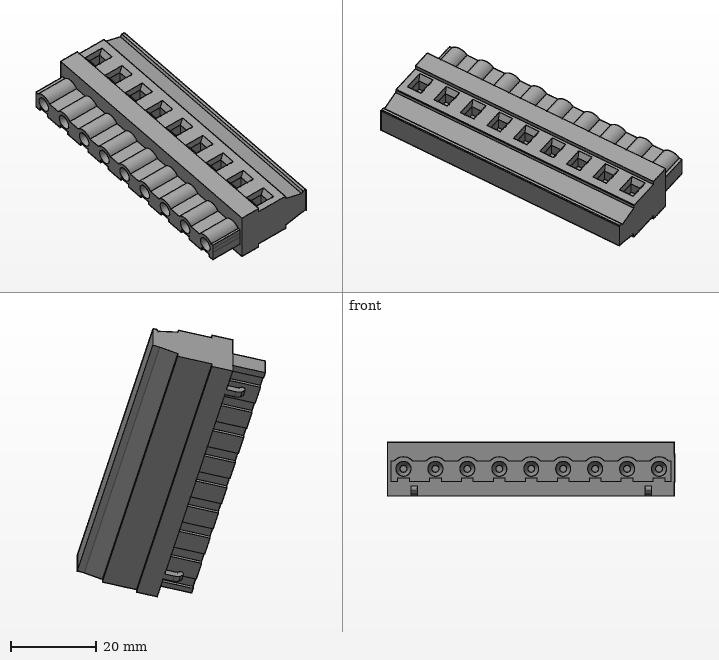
import cadquery as cq


total_length = 67.5
total_height = 12.7
pole_count = 9
pole_pitch = 7.5
lip_overhang = 0.2

housing_depth = 19.45
flange_depth = 5.05
middle_back = 13.35
middle_top_back = 13.1
middle_chamfer = 0.15
flange_step = 1.0
middle_top = total_height - flange_step
middle_bottom = flange_step
ramp_top_front = 10.9
ramp_bottom_front = 2.1
ramp_bottom_back_y = 17.75
ramp_bottom_back_z = 3.1
back_bottom = 3.3
groove_y = 18.1
groove_z = 9.45
ridge_front = 18.5
ridge_top = 10.05
ridge_chamfer = 0.2

lip_thickness = 0.15
lip_bottom = back_bottom
lip_top = ridge_top - ridge_chamfer

plug_reach = 8.2
plug_inset = 0.8
plug_bottom = 3.45
plug_top = 8.25
barrel_radius = 2.85
barrel_axis_z = 6.4
key_slot_width = 2.8
key_slot_depth = 0.8

funnel_mouth_diameter = 3.5
funnel_throat_diameter = 1.6
funnel_depth = 4.05

pocket_width = 3.7
pocket_front = 5.75
pocket_back = 10.95
pocket_taper_depth = 1.3
shaft_width = 2.8
shaft_front = 6.8
shaft_back = 9.85
shaft_depth = 4.05

hook_width = 1.5
hook_offset = 27.5
hook_thickness = 1.75
hook_heel_start = (-2.3, 0)
hook_heel_end = (-3.8, 0.5)
hook_tip_start = (-4.45, 1.3)
hook_tip_crest = (-4.5, 1.8)
hook_tip_end = (-3.7, 2.4)
hook_throat_front = (-3.1, 1.9)
hook_throat_back = (-2.55, hook_thickness)

housing_left = -total_length / 2
housing_right = total_length / 2 - lip_overhang
pole_positions = [pole_pitch * (i - (pole_count - 1) / 2) for i in range(pole_count)]


def span_box(x_range, y_range, z_range):
    """Box given by its lower and upper limits on each axis."""
    sizes = [high - low for low, high in (x_range, y_range, z_range)]
    corner = (x_range[0], y_range[0], z_range[0])
    return cq.Workplane("XY").box(*sizes, centered=False).translate(corner)


def make_housing():
    """Side outline of the housing, drawn in YZ and extruded along its length."""
    outline = [
        (0, 0),
        (flange_depth, 0),
        (flange_depth, middle_bottom),
        (middle_back, middle_bottom),
        (middle_back, ramp_bottom_front),
        (ramp_bottom_back_y, ramp_bottom_back_z),
        (housing_depth, back_bottom),
        (housing_depth, ridge_top - ridge_chamfer),
        (housing_depth - ridge_chamfer, ridge_top),
        (ridge_front, ridge_top),
        (groove_y, groove_z),
        (middle_back, ramp_top_front),
        (middle_back - middle_chamfer, middle_top - middle_chamfer),
        (middle_top_back, middle_top),
        (flange_depth, middle_top),
        (flange_depth, total_height),
        (0, total_height),
    ]
    profile = cq.Workplane("YZ", origin=(housing_left, 0, 0)).polyline(outline).close()
    return profile.extrude(housing_right - housing_left)


def make_lip():
    """Thin strip at the back that overhangs the +X end."""
    return span_box(
        (housing_left, total_length / 2),
        (housing_depth - lip_thickness, housing_depth),
        (lip_bottom, lip_top),
    )


def make_plug():
    """Plug bar with a barrel and a key slot at every pole."""
    plug_y = (-plug_reach, 0)
    plug = span_box(
        (housing_left + plug_inset, housing_right - plug_inset), plug_y, (plug_bottom, plug_top)
    )
    for x in pole_positions:
        barrel = cq.Workplane("XZ", origin=(x, 0, barrel_axis_z)).circle(barrel_radius).extrude(plug_reach)
        plug = plug.union(barrel)
    for x in pole_positions:
        slot_x = (x - key_slot_width / 2, x + key_slot_width / 2)
        plug = plug.cut(span_box(slot_x, plug_y, (plug_bottom, plug_bottom + key_slot_depth)))
    return plug


def make_funnel(x):
    """Conical contact opening in the plug face."""
    return cq.Workplane("XY").add(
        cq.Solid.makeCone(
            funnel_mouth_diameter / 2,
            funnel_throat_diameter / 2,
            funnel_depth,
            cq.Vector(x, -plug_reach, barrel_axis_z),
            cq.Vector(0, 1, 0),
        )
    )


def make_pocket(x):
    """Tapered rectangular mouth that leads into a straight shaft."""
    mouth_middle = (pocket_front + pocket_back) / 2
    shaft_middle = (shaft_front + shaft_back) / 2
    mouth = (
        cq.Workplane("XY", origin=(x, mouth_middle, middle_top))
        .rect(pocket_width, pocket_back - pocket_front)
        .workplane(offset=-pocket_taper_depth)
        .center(0, shaft_middle - mouth_middle)
        .rect(shaft_width, shaft_back - shaft_front)
        .loft(ruled=True)
    )
    shaft = span_box(
        (x - shaft_width / 2, x + shaft_width / 2),
        (shaft_front, shaft_back),
        (middle_top - shaft_depth, middle_top - pocket_taper_depth),
    )
    return mouth.union(shaft)


def make_hook(x):
    """Latch arm along -Y with an upturned rounded tip."""
    return (
        cq.Workplane("YZ", origin=(x - hook_width / 2, 0, 0))
        .moveTo(0, 0)
        .lineTo(*hook_heel_start)
        .tangentArcPoint(hook_heel_end, relative=False)
        .lineTo(*hook_tip_start)
        .threePointArc(hook_tip_crest, hook_tip_end)
        .lineTo(*hook_throat_front)
        .lineTo(*hook_throat_back)
        .lineTo(0, hook_thickness)
        .close()
        .extrude(hook_width)
    )


result = make_housing().union(make_lip()).union(make_plug())
for pole_x in pole_positions:
    result = result.cut(make_funnel(pole_x)).cut(make_pocket(pole_x))
for hook_x in (-hook_offset, hook_offset):
    result = result.union(make_hook(hook_x))